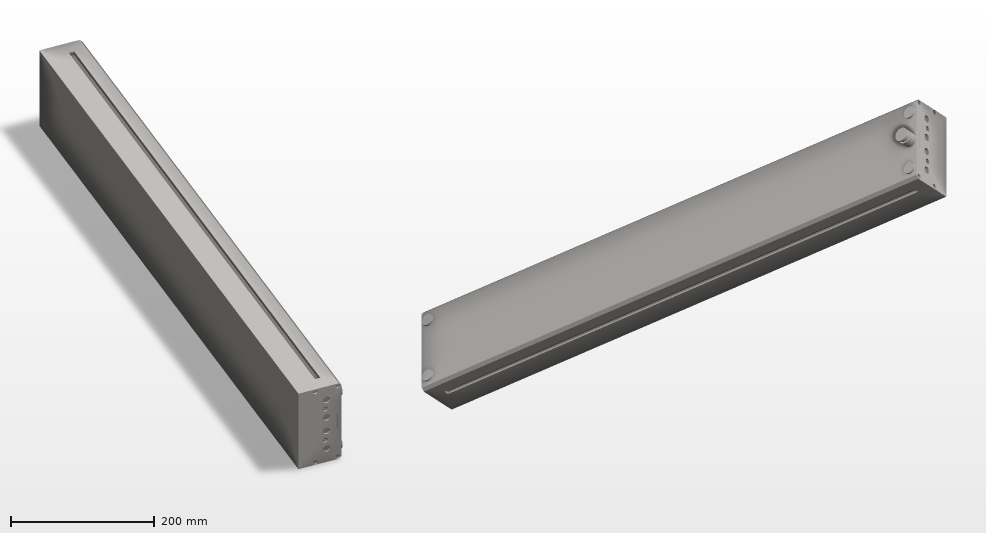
import cadquery as cq

LENGTH = 892.0
HEIGHT = 130.0
TOTAL_DEPTH = 86.5

WINDOW_DEPTH = 20.5
BACK_Y = 66.0
BACK_EDGE_CHAMFER = 4.5

CAP_LENGTH = 22.0
SCREW_Y = (26.0, 60.0)
SCREW_EDGE_DISTANCE = 4.5
SCREW_RECESS_DIAMETER = 7.0
SCREW_RECESS_DEPTH = 3.0

HOLE_GROUP_Z = 27.0
HOLE_PITCH = 15.0
LARGE_HOLE_Y = 43.0
LARGE_HOLE_DIAMETER = 11.0
SMALL_HOLE_Y = 41.0
SMALL_HOLE_DIAMETER = 8.0
SMALL_HOLE_CORE_DIAMETER = 4.0
SMALL_HOLE_CORE_DEPTH = 5.0
MOUNTING_HOLE_DEPTH = 3.0

SLOT_Y = 59.0
SLOT_LENGTH = 27.0
SLOT_WIDTH = 1.0
SLOT_DEPTH = 1.0

PAD_DIAMETER = 18.0
PAD_THICKNESS = 3.0
PAD_Z = 45.5
PAD_END_DISTANCE = 12.0

CONNECTOR_END_DISTANCE = 11.0
CONNECTOR_DIAMETER = 20.5
NECK_DIAMETER = 16.0
COLLAR_DEPTH = 12.5
RIM_THICKNESS = 3.0

GROOVE_Y = 39.0
GROOVE_WIDTH = 8.0
GROOVE_DEPTH = 5.0

HOUSING_LENGTH = LENGTH - 2 * CAP_LENGTH


def box(x_start, length, y_start, y_end):
    """Full-height block from x_start and between two depths."""
    return cq.Workplane("XY").box(
        length, y_end - y_start, HEIGHT, centered=(False, False, True)
    ).translate((x_start, y_start, 0))


def chamfered_section(x_start, length):
    """Length of the section behind the window, with chamfered back edges."""
    block = box(x_start, length, WINDOW_DEPTH, BACK_Y)
    return block.edges("|X and >Y").chamfer(BACK_EDGE_CHAMFER)


def back_cylinder(x, y_start, z, diameter, length):
    """Cylinder pointing backwards along +Y."""
    axis_start = cq.Vector(x, y_start, z)
    return cq.Workplane(cq.Solid.makeCylinder(diameter / 2, length, axis_start, cq.Vector(0, 1, 0)))


def end_hole(y, z, diameter, depth):
    """Cutter for a blind hole in the left end face."""
    axis_start = cq.Vector(-LENGTH / 2, y, z)
    return cq.Workplane(cq.Solid.makeCylinder(diameter / 2, depth, axis_start, cq.Vector(1, 0, 0)))


def make_window():
    return box(-LENGTH / 2, LENGTH, 0, WINDOW_DEPTH)


def make_housing():
    housing = chamfered_section(-HOUSING_LENGTH / 2, HOUSING_LENGTH)
    for side in (-1, 1):
        groove = cq.Workplane("XY").box(HOUSING_LENGTH, GROOVE_WIDTH, 2 * GROOVE_DEPTH)
        housing = housing.cut(groove.translate((0, GROOVE_Y, side * HEIGHT / 2)))
    return housing


def cut_screw_recesses(cap):
    for y in SCREW_Y:
        for side in (-1, 1):
            z = side * (HEIGHT / 2 - SCREW_EDGE_DISTANCE)
            cap = cap.cut(end_hole(y, z, SCREW_RECESS_DIAMETER, SCREW_RECESS_DEPTH))
    return cap


def cut_mounting_holes(cap):
    for group_z in (-HOLE_GROUP_Z, HOLE_GROUP_Z):
        cap = cap.cut(end_hole(SMALL_HOLE_Y, group_z, SMALL_HOLE_DIAMETER, MOUNTING_HOLE_DEPTH))
        cap = cap.cut(end_hole(SMALL_HOLE_Y, group_z, SMALL_HOLE_CORE_DIAMETER, SMALL_HOLE_CORE_DEPTH))
        for z in (group_z - HOLE_PITCH, group_z + HOLE_PITCH):
            cap = cap.cut(end_hole(LARGE_HOLE_Y, z, LARGE_HOLE_DIAMETER, MOUNTING_HOLE_DEPTH))
    return cap


def cut_slot(cap):
    slot = cq.Workplane("XY").box(2 * SLOT_DEPTH, SLOT_WIDTH, SLOT_LENGTH)
    return cap.cut(slot.translate((-LENGTH / 2, SLOT_Y, 0)))


def add_pads(cap):
    for z in (-PAD_Z, PAD_Z):
        x = PAD_END_DISTANCE - LENGTH / 2
        cap = cap.union(back_cylinder(x, BACK_Y, z, PAD_DIAMETER, PAD_THICKNESS))
    return cap


def make_plain_cap():
    """Left-hand cap without the connector."""
    cap = chamfered_section(-LENGTH / 2, CAP_LENGTH)
    cap = cut_screw_recesses(cap)
    cap = cut_mounting_holes(cap)
    cap = cut_slot(cap)
    return add_pads(cap)


def add_connector(cap):
    x = CONNECTOR_END_DISTANCE - LENGTH / 2
    length = TOTAL_DEPTH - BACK_Y
    rim_y = TOTAL_DEPTH - RIM_THICKNESS
    neck = back_cylinder(x, BACK_Y, 0, NECK_DIAMETER, length)
    collar = back_cylinder(x, BACK_Y, 0, CONNECTOR_DIAMETER, COLLAR_DEPTH)
    rim = back_cylinder(x, rim_y, 0, CONNECTOR_DIAMETER, RIM_THICKNESS)
    return cap.union(neck).union(collar).union(rim)


window = make_window()
housing = make_housing()
plain_cap = make_plain_cap()
left_cap = add_connector(plain_cap)
right_cap = plain_cap.mirror("YZ")

result = cq.Compound.makeCompound([window.val(), housing.val(), left_cap.val(), right_cap.val()])